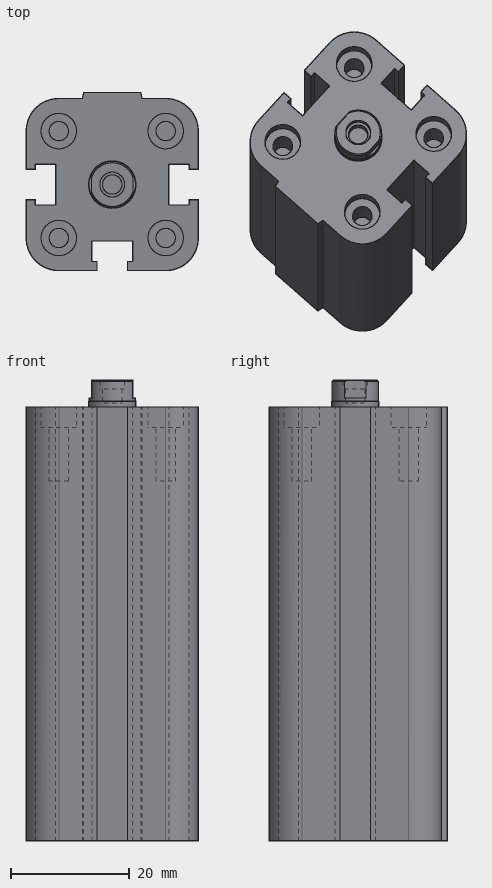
import cadquery as cq

WIDTH = 29.0
TOTAL_HEIGHT = 77.5
ROD_PROJECTION = 4.5
HOUSING_HEIGHT = TOTAL_HEIGHT - ROD_PROJECTION
CORNER_RADIUS = 5.5
HALF_WIDTH = WIDTH / 2

RIDGE_HEIGHT = 1.0
RIDGE_BASE_WIDTH = 10.1
RIDGE_TOP_WIDTH = 9.6

SLOT_OPENING = 5.1
SLOT_INNER_WIDTH = 6.8
SLOT_LIP = 1.55
SLOT_DEPTH = 4.95
SLOT_FACE_ANGLES = (0, 90, -90)

HOLE_SPACING = 18.0
HOLE_DIAMETER = 3.25
HOLE_DEPTH = 12.5
COUNTERBORE_DIAMETER = 6.0
COUNTERBORE_DEPTH = 3.5

ROD_DIAMETER = 8.0
ROD_END_DIAMETER = 7.8
COLLAR_HEIGHT = 1.0
COLLAR_CHAMFER = (ROD_DIAMETER - ROD_END_DIAMETER) / 2
ROD_CHAMFER = 0.2
FLAT_WIDTH = 7
FLAT_START = 1.5
BORE_DIAMETER = 3.25
BORE_DEPTH = 3.9
BORE_MOUTH_DIAMETER = 4.2
BORE_MOUTH_DEPTH = 1.5


def make_profile_block():
    return (
        cq.Workplane("XY")
        .rect(WIDTH, WIDTH)
        .extrude(HOUSING_HEIGHT)
        .edges("|Z")
        .fillet(CORNER_RADIUS)
    )


def make_ridge():
    outer_y = HALF_WIDTH + RIDGE_HEIGHT
    return (
        cq.Workplane("XY")
        .polyline([
            (-RIDGE_BASE_WIDTH / 2, 0),
            (-RIDGE_BASE_WIDTH / 2, HALF_WIDTH),
            (-RIDGE_TOP_WIDTH / 2, outer_y),
            (RIDGE_TOP_WIDTH / 2, outer_y),
            (RIDGE_BASE_WIDTH / 2, HALF_WIDTH),
            (RIDGE_BASE_WIDTH / 2, 0),
        ])
        .close()
        .extrude(HOUSING_HEIGHT)
    )


def make_slot(angle):
    """T-shaped cutter for the -Y face, turned about Z by the given angle."""
    floor_y = -HALF_WIDTH + SLOT_DEPTH
    inner_depth = SLOT_DEPTH - SLOT_LIP
    opening = (
        cq.Workplane("XY")
        .center(0, floor_y - SLOT_DEPTH / 2)
        .rect(SLOT_OPENING, SLOT_DEPTH)
        .extrude(HOUSING_HEIGHT)
    )
    undercut = (
        cq.Workplane("XY")
        .center(0, floor_y - inner_depth / 2)
        .rect(SLOT_INNER_WIDTH, inner_depth)
        .extrude(HOUSING_HEIGHT)
    )
    return opening.union(undercut).rotate((0, 0, 0), (0, 0, 1), angle)


def make_housing():
    housing = make_profile_block().union(make_ridge())
    for angle in SLOT_FACE_ANGLES:
        housing = housing.cut(make_slot(angle))
    return (
        housing.faces(">Z")
        .workplane(origin=(0, 0, HOUSING_HEIGHT))
        .rect(HOLE_SPACING, HOLE_SPACING, forConstruction=True)
        .vertices()
        .cboreHole(HOLE_DIAMETER, COUNTERBORE_DIAMETER, COUNTERBORE_DEPTH, HOLE_DEPTH)
    )


def make_rod():
    collar = (
        cq.Workplane("XY")
        .circle(ROD_DIAMETER / 2)
        .extrude(COLLAR_HEIGHT)
        .faces(">Z")
        .chamfer(COLLAR_CHAMFER)
    )
    end = (
        cq.Workplane("XY")
        .circle(ROD_END_DIAMETER / 2)
        .extrude(ROD_PROJECTION)
        .faces(">Z")
        .chamfer(ROD_CHAMFER)
    )
    flat_depth = (ROD_DIAMETER - FLAT_WIDTH) / 2
    flat_offset = (FLAT_WIDTH + flat_depth) / 2
    flats = (
        cq.Workplane("XY", origin=(0, 0, FLAT_START))
        .pushPoints([(-flat_offset, 0), (flat_offset, 0)])
        .rect(flat_depth, ROD_DIAMETER)
        .extrude(ROD_PROJECTION - FLAT_START)
    )
    rod = collar.union(end).cut(flats)
    rod = (
        rod.faces(">Z")
        .workplane(origin=(0, 0, ROD_PROJECTION))
        .cboreHole(BORE_DIAMETER, BORE_MOUTH_DIAMETER, BORE_MOUTH_DEPTH, BORE_DEPTH)
    )
    return rod.translate((0, 0, HOUSING_HEIGHT))


housing = make_housing()
rod = make_rod()
result = cq.Compound.makeCompound([housing.val(), rod.val()])